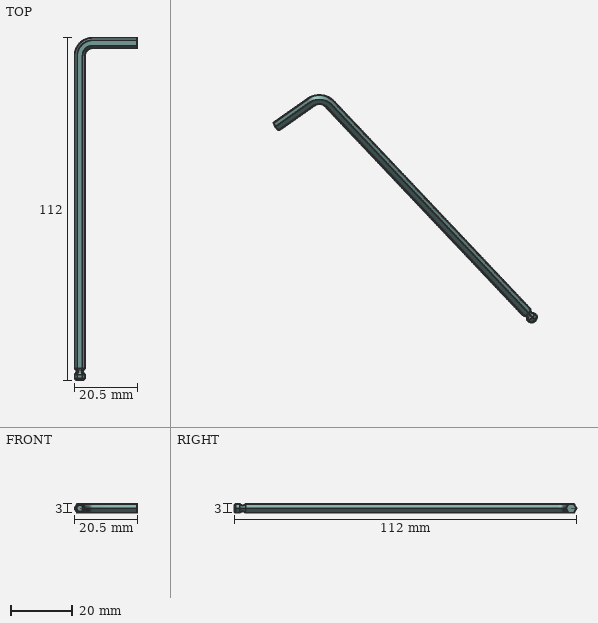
import cadquery as cq
import math

across_flats = 3.0
half_flats = across_flats / 2
half_corners = half_flats / math.cos(math.pi / 6)

overall_x = 20.47
overall_y = 111.97
bend_radius = 4.2

ball_end_length = 3.8
ball_rear = 1.8
ball_front = 0.55
neck_half_flats = 1.0
tip_half_flats = 1.0

short_arm_end = overall_x - half_corners
tip_y = half_corners - overall_y
shoulder_y = tip_y + ball_end_length


def bent_bar():
    """Hexagon swept along the long arm, round the bend and along the short arm."""
    mid_bend = bend_radius * (1 - math.sqrt(0.5))
    path = (
        cq.Workplane("XY")
        .moveTo(0, shoulder_y)
        .lineTo(0, -bend_radius)
        .threePointArc((mid_bend, -mid_bend), (bend_radius, 0))
        .lineTo(short_arm_end, 0)
    )
    section = cq.Workplane("XZ", origin=(0, shoulder_y, 0)).polygon(6, 2 * half_corners)
    return section.sweep(path)


def ball_end_slab():
    """Side profile of the ball end between one pair of opposite flats, run along X."""
    ball_rear_y = tip_y + ball_rear
    ball_front_y = tip_y + ball_front
    neck_y = (shoulder_y + ball_rear_y) / 2
    return (
        cq.Workplane("YZ")
        .moveTo(shoulder_y, half_flats)
        .threePointArc((neck_y, neck_half_flats), (ball_rear_y, half_flats))
        .lineTo(ball_front_y, half_flats)
        .lineTo(tip_y, tip_half_flats)
        .lineTo(tip_y, -tip_half_flats)
        .lineTo(ball_front_y, -half_flats)
        .lineTo(ball_rear_y, -half_flats)
        .threePointArc((neck_y, -neck_half_flats), (shoulder_y, -half_flats))
        .close()
        .extrude(across_flats, both=True)
    )


def ball_end():
    """Six-sided neck, ball and tip: the common part of three slabs turned about the arm."""
    slab = ball_end_slab()
    end = slab
    for turn in (60, 120):
        end = end.intersect(slab.rotate((0, 0, 0), (0, 1, 0), turn))
    return end


result = bent_bar().union(ball_end())